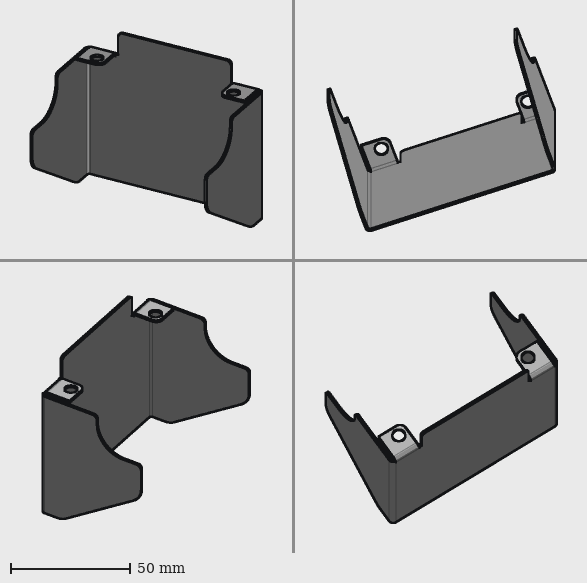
import cadquery as cq

width = 84.1
depth = 50.0
height = 70.5
thickness = 1.0
bend_radius = 2 * thickness
inner_bend_radius = bend_radius - thickness
wall_height = 59.9
corner_radius = 2.0

raised_width = 53.8

shoulder_depth = 28.0
ledge_height = 42.7
scoop_radius = 13.0
slope_start_depth = 10.7
slope_end_height = 26.0
slope_corner_radius = 8.0

tab_width = 11.95
tab_depth = 13.2
tab_corner_radius = 3.0
tab_top = wall_height + thickness
tab_outer_x = width / 2 - bend_radius
tab_inner_x = tab_outer_x - tab_width
hole_diameter = 5.5
hole_x = width / 2 - 9.5
hole_y = -9.0


def make_channel():
    """Back plate and two side walls, bent from one sheet, at full wall height."""
    outer = (
        cq.Workplane("XY")
        .box(width, depth, wall_height, centered=(True, False, False))
        .translate((0, -depth, 0))
        .edges("|Z and >Y")
        .fillet(bend_radius)
    )
    inner = (
        cq.Workplane("XY")
        .box(width - 2 * thickness, depth - thickness, wall_height, centered=(True, False, False))
        .translate((0, -depth, 0))
        .edges("|Z and >Y")
        .fillet(inner_bend_radius)
    )
    return outer.cut(inner)


def make_wall_profile():
    """Side outline of the walls, as a block spanning the full width."""
    block = (
        cq.Workplane("YZ")
        .polyline([
            (0, 0),
            (-slope_start_depth, 0),
            (-depth, slope_end_height),
            (-depth, ledge_height),
            (-shoulder_depth, ledge_height),
            (-shoulder_depth, wall_height),
            (0, wall_height),
        ])
        .close()
        .extrude(width / 2, both=True)
    )

    def round_edge(body, y, z, radius):
        return body.edges(cq.NearestToPointSelector((0, y, z))).fillet(radius)

    block = round_edge(block, -slope_start_depth, 0, slope_corner_radius)
    block = round_edge(block, -depth, slope_end_height, slope_corner_radius)
    block = round_edge(block, -depth, ledge_height, corner_radius)
    block = round_edge(block, -shoulder_depth, ledge_height, scoop_radius)
    return round_edge(block, -shoulder_depth, wall_height, corner_radius)


def make_raised_plate():
    """Centre of the back plate, rising above the walls with rounded top corners."""
    return (
        cq.Workplane("XY")
        .box(raised_width, thickness, height, centered=(True, False, False))
        .translate((0, -thickness, 0))
        .edges("|Y and >Z")
        .fillet(corner_radius)
    )


def make_tab():
    """Tab on the +X side, bent forward from the top of the back plate."""
    bend_start = tab_top - bend_radius
    tab = (
        cq.Workplane("YZ", origin=(tab_inner_x, 0, 0))
        .moveTo(0, bend_start)
        .radiusArc((-bend_radius, tab_top), -bend_radius)
        .lineTo(-tab_depth, tab_top)
        .lineTo(-tab_depth, tab_top - thickness)
        .lineTo(-bend_radius, tab_top - thickness)
        .radiusArc((-thickness, bend_start), inner_bend_radius)
        .close()
        .extrude(tab_width)
        .edges("|Z and <X and <Y")
        .fillet(tab_corner_radius)
    )
    hole = (
        cq.Workplane("XY", origin=(hole_x, hole_y, tab_top - thickness))
        .circle(hole_diameter / 2)
        .extrude(thickness)
    )
    return tab.cut(hole)


def make_bend_clearance():
    """Region above the bend line that the +X tab leaves behind in the back plate."""
    return cq.Workplane("XY").box(
        tab_width, thickness, bend_radius, centered=False
    ).translate((tab_inner_x, -thickness, tab_top - bend_radius))


body = make_channel().intersect(make_wall_profile()).union(make_raised_plate())
clearance = make_bend_clearance()
tab = make_tab()
for piece in (clearance, clearance.mirror("YZ")):
    body = body.cut(piece)
for piece in (tab, tab.mirror("YZ")):
    body = body.union(piece)
result = body